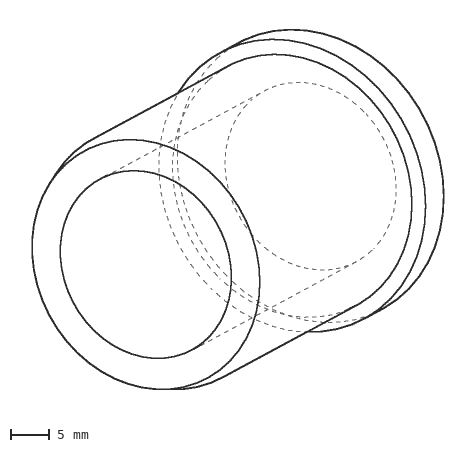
import cadquery as cq
import math

flange_diameter = 39.0
body_diameter = 35.0
bore_diameter = 25.0
overall_length = 45.0
flange_thickness = 5.0

taper_length = 3.2
taper_angle = 15.0

body_length = overall_length - flange_thickness
flange_radius = flange_diameter / 2
body_radius = body_diameter / 2
bore_radius = bore_diameter / 2
nose_radius = body_radius - taper_length * math.tan(math.radians(taper_angle))


def make_bushing():
    """Revolve the half section; the flange shoulder lies at Y = 0."""
    half_section = (
        cq.Workplane("XY")
        .moveTo(bore_radius, -body_length)
        .lineTo(nose_radius, -body_length)
        .lineTo(body_radius, -body_length + taper_length)
        .lineTo(body_radius, 0)
        .lineTo(flange_radius, 0)
        .lineTo(flange_radius, flange_thickness)
        .lineTo(bore_radius, flange_thickness)
        .close()
    )
    return half_section.revolve(360, (0, 0, 0), (0, 1, 0))


result = make_bushing()